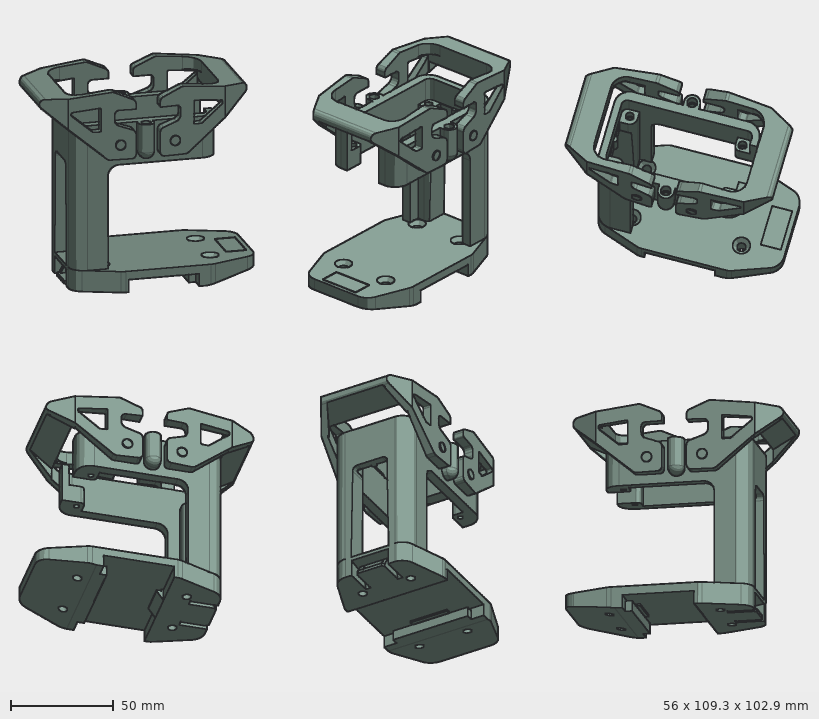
import cadquery as cq
import math


overall_half_width = 28.01
base_height = 10.8
base_front = -36.65
base_back = 56.9
base_taper_angle = 20
base_taper_length = 24.0
base_end_radius = 7.6
base_bend_radius = 7.0
nose_thickness = 6.0
nose_angle = 10

screw_x = 13.5
screw_rows = (-20.0, 35.3)
screw_radius = 2.15
countersink_radius = 4.3

label_half_width = 10.5
label_front, label_back = 44.2, 54.4
label_depth = 0.3

channel_front, channel_back = -9.8, 25.9
channel_height = 6.4
rail_lip_front = 22.5
rail_lip_height = 5.2
rail_lip_half_width = 21.0
rail_pad_front, rail_pad_back = 20.8, 23.1
rail_pad_depth = 0.9

slot_half_width = 10.3
slot_height = 8.7
slot_back = -23.6
slot_back_bevel_height = 3.6
slot_back_bevel = 1.0
latch_half_width = 7.7
latch_recess_half_width = 5.2
latch_recess_depth = 4.0
latch_lip_height = 1.6
latch_ramp_length = 2.5
latch_corner_chamfer = 1.1
tooth_tip = -6.3
tooth_neck = -8.7
tooth_top, tooth_tip_bottom = 5.6, 5.0

housing_half_width = 21.65
housing_half_length = 36.65
housing_radius = 7.6
housing_top, housing_bottom = 85.0, 63.6
cavity_half_width = 16.85
cavity_half_length = 33.0
cavity_radius = 3.0
column_back = -18.6
column_inner_radius = 5.5
back_gap_half_width = 10.1

window_top_half_width = 9.6
window_bottom_half_width = 10.5
window_corner_radius = 2.7

post_x = 13.45
post_top = 73.3
back_post_y, back_post_edge = 28.4, 25.0
front_post_y, front_post_edge = -28.6, -24.6
front_post_inner = 9.2
back_post_corner_radius = 2.3
front_post_corner_radius = 4.0
insert_radius, insert_depth = 2.0, 5.0
pilot_radius, pilot_depth = 1.3, 8.0
drill_point_half_angle = math.radians(59)
rib_radius = 1.5
rib_pad_thickness = 0.45

side_post_x = 24.0
side_post_radius = overall_half_width - side_post_x
side_post_ball_z = 70.75
side_insert_radius, side_insert_depth = 2.45, 6.0
side_pilot_radius, side_pilot_depth = 1.65, 9.0

bail_reach = 52.43
bail_inner_end = 6.15
bail_top_z, bail_peak_y = 102.96, 17.5
bail_top_slope = 0.1
bail_peak_radius = 3.0
hook_slope = math.tan(math.radians(24))
hook_bottom = 93.5
hook_lip_radius, hook_tip_radius = 0.5, 2.5
throat_y = 16.7
throat_slope = math.tan(math.radians(20))
throat_floor_z = 82.4
throat_top_radius, throat_floor_radius, throat_lip_radius = 2.3, 3.6, 2.6
limb_bottom = 68.25
belly_start = 20.0
belly_radius, limb_corner_radius = 3.0, 2.2
belly_slope = math.tan(math.radians(40))
bail_window_front, bail_window_bottom = 23.5, 83.0
bail_window_top = 95.2
bail_window_reach = 38.35
bail_window_bottom_end = 27.5
bail_window_radius = 0.7
limb_inner_x = 22.4
limb_end_x = 27.95
bail_bend_y, bail_bend_x = 39.7, 25.6
bail_tip_x = 18.5
bar_inner_y = 38.65
bar_corner_radius = 7.5
bar_corner_floor = 95.1
bar_underside_inner_z = 89.8
bar_underside_angle = 20.6
undercut_inner_x, undercut_outer_x = 21.8, 15.1
pivot_y, pivot_z, pivot_radius = 13.8, 75.7, 2.5

overlap = 1.0
tall = 200.0


def box(x0, x1, y0, y1, z0, z1):
    """Axis-aligned block between two corners."""
    return cq.Workplane("XY").box(x1 - x0, y1 - y0, z1 - z0, centered=False).translate((x0, y0, z0))


def rounded_outline(plane, corners):
    """Closed outline through (u, v, radius) corners, each rounded by a tangent arc."""
    path = None
    count = len(corners)
    for i, (u, v, radius) in enumerate(corners):
        corner = cq.Vector(u, v)
        to_last = (cq.Vector(*corners[i - 1][:2]) - corner).normalized()
        to_next = (cq.Vector(*corners[(i + 1) % count][:2]) - corner).normalized()
        half_angle = to_last.getAngle(to_next) / 2
        setback = radius / math.tan(half_angle)
        start = (corner + to_last * setback).toTuple()[:2]
        end = (corner + to_next * setback).toTuple()[:2]
        path = path.lineTo(*start) if path else cq.Workplane(plane).moveTo(*start)
        if radius > 0:
            bisector = (to_last + to_next).normalized()
            middle = corner + bisector * (radius / math.sin(half_angle) - radius)
            path = path.threePointArc(middle.toTuple()[:2], end)
    return path.close()


def mirrored_in_x(half_corners):
    """Outline corners completed by their mirror images across X = 0."""
    return half_corners + [(-x, y, radius) for x, y, radius in reversed(half_corners)]


def side_profile(points, half_width):
    """Prism across X, centred on X = 0, from a (Y, Z) outline."""
    return cq.Workplane("YZ").polyline(points).close().extrude(half_width, both=True)


def both_sides(solid):
    return solid.union(solid.mirror("YZ"))


def stepped_hole(x, y, top, wide_radius, wide_depth, narrow_radius, narrow_depth):
    """Insert hole with a narrower pilot hole that ends in a drill cone."""
    cone_depth = narrow_radius / math.tan(drill_point_half_angle)
    floor = top - wide_depth
    end = floor - narrow_depth
    profile = [
        (0, top),
        (wide_radius, top),
        (wide_radius, floor),
        (narrow_radius, floor),
        (narrow_radius, end),
        (0, end - cone_depth),
    ]
    return cq.Workplane("XZ").polyline(profile).close().revolve(360, (0, 0), (0, 1)).translate((x, y, 0))


def make_base():
    end_x = overall_half_width - base_taper_length * math.tan(math.radians(base_taper_angle))
    half = [
        (end_x, base_front, base_end_radius),
        (overall_half_width, base_front + base_taper_length, base_bend_radius),
        (overall_half_width, base_back - base_taper_length, base_bend_radius),
        (end_x, base_back, base_end_radius),
    ]
    base = rounded_outline("XY", mirrored_in_x(half)).extrude(base_height)

    nose_bottom = base_height - nose_thickness
    nose_start = base_back - nose_bottom / math.tan(math.radians(nose_angle))
    nose_cut = [(nose_start, 0), (base_back, 0), (base_back, nose_bottom)]
    base = base.cut(side_profile(nose_cut, overall_half_width))

    label_floor = base_height - label_depth
    return base.cut(
        box(-label_half_width, label_half_width, label_front, label_back, label_floor, base_height)
    )


def screw_holes():
    cone_bottom = base_height - (countersink_radius - screw_radius)
    profile = [
        (0, -overlap),
        (screw_radius, -overlap),
        (screw_radius, cone_bottom),
        (countersink_radius, base_height),
        (0, base_height),
    ]
    hole = cq.Workplane("XZ").polyline(profile).close().revolve(360, (0, 0), (0, 1))
    holes = cq.Workplane("XY")
    for y in screw_rows:
        for x in (-screw_x, screw_x):
            holes = holes.add(hole.translate((x, y, 0)))
    return holes.combine()


def cut_rail_channel(base):
    """Cross channel with a fixed lip and a pad at the back."""
    base = base.cut(
        box(-overall_half_width, overall_half_width, channel_front, channel_back, -overlap, channel_height)
    )
    base = base.union(
        box(-rail_lip_half_width, rail_lip_half_width, rail_lip_front, channel_back, 0, rail_lip_height)
    )
    pad_bottom = channel_height - rail_pad_depth
    return base.union(
        box(-slot_half_width, slot_half_width, rail_pad_front, rail_pad_back, pad_bottom, channel_height)
    )


def add_latch(base):
    """Latch tongue in a front slot, with a release recess in front and a tooth in the channel."""
    slot = [
        (base_front, 0),
        (base_front, slot_height),
        (slot_back, channel_height),
        (slot_back, slot_back_bevel_height),
        (slot_back + slot_back_bevel, 0),
    ]
    base = base.cut(side_profile(slot, slot_half_width))

    recess_back = base_front + latch_recess_depth
    ramp_bottom = recess_back - latch_ramp_length
    tongue = [
        (base_front, 0),
        (base_front, latch_lip_height),
        (ramp_bottom, latch_lip_height),
        (recess_back, channel_height),
        (channel_front, channel_height),
        (channel_front, 0),
    ]
    latch = side_profile(tongue, latch_half_width)
    latch = latch.edges("|Z and <Y").chamfer(latch_corner_chamfer)
    latch = latch.cut(
        box(
            -latch_recess_half_width,
            latch_recess_half_width,
            base_front,
            recess_back,
            latch_lip_height,
            channel_height,
        )
    )
    tooth = [
        (channel_front, 0),
        (channel_front, channel_height),
        (tooth_neck, channel_height),
        (tooth_neck, tooth_top),
        (tooth_tip, tooth_top),
        (tooth_tip, tooth_tip_bottom),
    ]
    return base.union(latch).union(side_profile(tooth, latch_half_width))


def make_housing_shell():
    """Box frame carried by a C-shaped column, open at the back."""
    shell = (
        cq.Workplane("XY")
        .rect(2 * housing_half_width, 2 * housing_half_length)
        .extrude(housing_top - base_height)
        .edges("|Z")
        .fillet(housing_radius)
        .translate((0, 0, base_height))
    )
    cavity = (
        cq.Workplane("XY")
        .rect(2 * cavity_half_width, 2 * cavity_half_length)
        .extrude(tall)
        .edges("|Z")
        .fillet(cavity_radius)
    )
    shell = shell.cut(cavity)
    return shell.cut(
        box(
            -back_gap_half_width,
            back_gap_half_width,
            cavity_half_length - overlap,
            housing_half_length,
            base_height,
            housing_top,
        )
    )


def add_cover_posts(housing):
    """Four corner posts inside the cavity, plus the small rib at the front wall."""
    wall_x = cavity_half_width + overlap
    wall_y = cavity_half_length + overlap
    back_post = box(back_gap_half_width, wall_x, back_post_edge, cavity_half_length, base_height, post_top)
    back_post = back_post.edges("|Z and <X and <Y").fillet(back_post_corner_radius)
    front_post = box(front_post_inner, wall_x, -wall_y, front_post_edge, base_height, post_top)
    front_post = front_post.edges("|Z and <X and >Y").fillet(front_post_corner_radius)
    housing = housing.union(both_sides(back_post)).union(both_sides(front_post))

    pad_face = rib_pad_thickness - cavity_half_length
    housing = housing.union(
        box(-front_post_inner, front_post_inner, -wall_y, pad_face, housing_bottom, post_top)
    )
    rib = cq.Workplane("XY").circle(rib_radius).extrude(post_top - housing_bottom)
    return housing.union(rib.translate((0, pad_face, housing_bottom)))


def cut_under_housing(housing):
    """Opens the space behind the column, below the housing."""
    reach = housing_half_length + overlap
    under = rounded_outline(
        "YZ",
        [
            (column_back, base_height, 0),
            (reach, base_height, 0),
            (reach, housing_bottom, 0),
            (column_back, housing_bottom, column_inner_radius),
        ],
    )
    return housing.cut(under.extrude(overall_half_width, both=True))


def cut_column_window(housing):
    half = [
        (window_bottom_half_width, base_height, 0),
        (window_top_half_width, housing_bottom, window_corner_radius),
    ]
    window = rounded_outline("XZ", mirrored_in_x(half)).extrude(housing_half_length - column_back)
    return housing.cut(window.translate((0, column_back, 0)))


def cut_post_holes(housing):
    for x in (-post_x, post_x):
        housing = housing.cut(
            stepped_hole(x, front_post_y, post_top, insert_radius, insert_depth, pilot_radius, pilot_depth)
        )
        through = post_top - housing_bottom
        housing = housing.cut(
            stepped_hole(x, back_post_y, post_top, insert_radius, insert_depth, pilot_radius, through)
        )
    return housing


def add_side_posts(housing):
    """Round-bottomed screw posts on the outer side walls."""
    height = housing_top - side_post_ball_z
    start = housing_half_width - overlap
    length = side_post_x - start
    post = cq.Workplane("XY").circle(side_post_radius).extrude(height)
    post = post.union(cq.Workplane("XY").sphere(side_post_radius))
    post = post.translate((side_post_x, 0, side_post_ball_z))
    web = box(start, side_post_x, -side_post_radius, side_post_radius, side_post_ball_z, housing_top)
    web_bottom = cq.Workplane("YZ").circle(side_post_radius).extrude(length)
    post = post.union(web).union(web_bottom.translate((start, 0, side_post_ball_z)))
    hole = stepped_hole(
        side_post_x,
        0,
        housing_top,
        side_insert_radius,
        side_insert_depth,
        side_pilot_radius,
        side_pilot_depth,
    )
    return housing.union(both_sides(post)).cut(both_sides(hole))


def rounded_tip(top_y, top_z, bottom_y, bottom_z, reach):
    """Corner where a bail-top line meets a belly line, with the radius that makes it end at `reach`."""
    tip_y = top_z + bail_top_slope * top_y - bottom_z + belly_slope * bottom_y
    tip_y = tip_y / (bail_top_slope + belly_slope)
    tip_z = bottom_z + belly_slope * (tip_y - bottom_y)
    top_angle = math.atan(bail_top_slope)
    belly_angle = math.atan(belly_slope)
    half_angle = (belly_angle + top_angle) / 2
    tilt = (belly_angle - top_angle) / 2
    radius = (tip_y - reach) / (math.cos(tilt) / math.sin(half_angle) - 1)
    return tip_y, tip_z, radius


def bail_side_shape():
    """Side outline of a bail with its hook, belly and tip."""
    hook_tip_z = bail_top_z - hook_slope * (bail_peak_y - bail_inner_end)
    throat_end_z = throat_floor_z + throat_slope * (throat_y - bail_inner_end)
    outline = [
        (bail_peak_y, bail_top_z, bail_peak_radius),
        rounded_tip(bail_peak_y, bail_top_z, belly_start, limb_bottom, bail_reach),
        (belly_start, limb_bottom, belly_radius),
        (bail_inner_end, limb_bottom, limb_corner_radius),
        (bail_inner_end, throat_floor_z, throat_lip_radius),
        (throat_y, throat_end_z, throat_floor_radius),
        (throat_y, hook_bottom, throat_top_radius),
        (bail_inner_end, hook_bottom, hook_lip_radius),
        (bail_inner_end, hook_tip_z, hook_tip_radius),
    ]
    return rounded_outline("YZ", outline).extrude(overall_half_width, both=True)


def bail_window():
    outline = [
        (bail_window_front, bail_window_top, bail_window_radius),
        rounded_tip(
            bail_window_front, bail_window_top, bail_window_bottom_end, bail_window_bottom, bail_window_reach
        ),
        (bail_window_bottom_end, bail_window_bottom, bail_window_radius),
        (bail_window_front, bail_window_bottom, bail_window_radius),
    ]
    return rounded_outline("YZ", outline).extrude(overall_half_width, both=True)


def bail_undercut():
    """Clears the wedge below the bar, leaving the sloped corner walls."""
    rise = math.tan(math.radians(bar_underside_angle)) * (bail_reach - bar_inner_y)
    wedge = [
        (bar_inner_y, limb_bottom),
        (bar_inner_y, bar_underside_inner_z),
        (bail_reach, bar_underside_inner_z + rise),
        (bail_reach, limb_bottom),
    ]
    plan = [
        (-undercut_inner_x, bar_inner_y),
        (undercut_inner_x, bar_inner_y),
        (undercut_outer_x, bail_reach),
        (-undercut_outer_x, bail_reach),
    ]
    plan_prism = cq.Workplane("XY").polyline(plan).close().extrude(tall)
    return side_profile(wedge, overall_half_width).intersect(plan_prism)


def make_bail():
    """Back bail: two hooked limbs joined by a bar, with pivot pins reaching the housing."""
    plan = [
        (limb_end_x, bail_inner_end),
        (bail_bend_x, bail_bend_y),
        (bail_tip_x, bail_reach),
        (-bail_tip_x, bail_reach),
        (-bail_bend_x, bail_bend_y),
        (-limb_end_x, bail_inner_end),
    ]
    bail = cq.Workplane("XY").polyline(plan).close().extrude(tall).intersect(bail_side_shape())
    bail = bail.cut(bail_window())

    lower_opening = box(-limb_inner_x, limb_inner_x, 0, bar_inner_y, 0, bar_corner_floor)
    upper_opening = box(-limb_inner_x, limb_inner_x, 0, bar_inner_y, bar_corner_floor, tall)
    upper_opening = upper_opening.edges("|Z and >Y").fillet(bar_corner_radius)
    bail = bail.cut(lower_opening).cut(upper_opening).cut(bail_undercut())

    pin_start = housing_half_width - overlap
    pin = cq.Workplane("YZ").circle(pivot_radius).extrude(overall_half_width - pin_start)
    return bail.union(both_sides(pin.translate((pin_start, pivot_y, pivot_z))))


base = add_latch(cut_rail_channel(make_base())).cut(screw_holes())

housing = add_cover_posts(make_housing_shell())
housing = cut_column_window(cut_under_housing(housing))
housing = add_side_posts(cut_post_holes(housing))

back_bail = make_bail()
front_bail = back_bail.mirror("XZ")

result = base.union(housing).union(back_bail).union(front_bail)